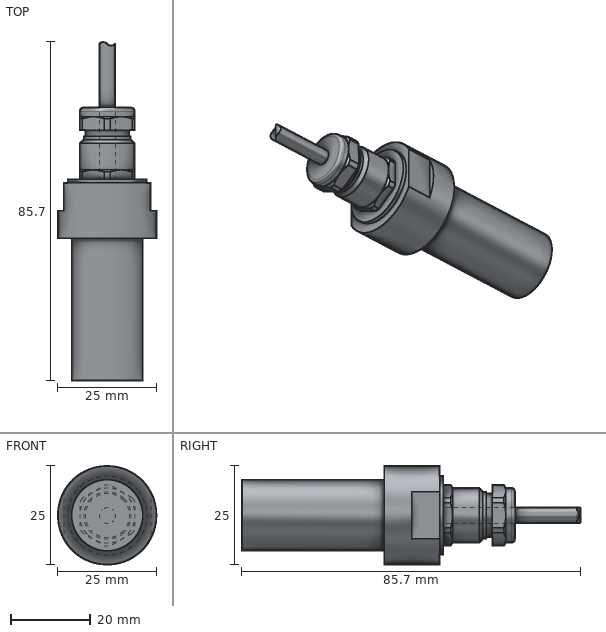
import cadquery as cq
import math


rod_diameter = 18.0
rod_length = 36.0
collar_diameter = 25.0
collar_length = 14.0
flat_spacing = 22.0
flat_length = 7.0
flange_diameter = 20.0
flange_length = 1.0

hex_across_flats = 14.0
hex_corner_diameter = 15.4
hex_chamfer_length = 0.5
base_hex_length = 2.3
barrel_diameter = 13.92
shoulder_diameter = 12.0
barrel_chamfer = (barrel_diameter - shoulder_diameter) / 2
barrel_length = 6.7
shoulder_length = 0.8
neck_diameter = 11.2
neck_length = 1.6
cap_hex_length = 3.4
cap_fillet = 1.0
gland_length = 18.1

cable_diameter = 4.0
overall_length = 85.67
break_depth = 0.45

collar_start = rod_length
collar_end = collar_start + collar_length
flange_end = collar_end + flange_length
base_hex_end = flange_end + base_hex_length
barrel_end = base_hex_end + barrel_length
shoulder_start = barrel_end + barrel_chamfer
neck_start = shoulder_start + shoulder_length
cap_start = neck_start + neck_length
cap_hex_end = cap_start + cap_hex_length
gland_end = flange_end + gland_length


def section_plane(y):
    """Sketch plane across the axis whose normal points along +Y."""
    return cq.Plane(origin=(0, y, 0), xDir=(1, 0, 0), normal=(0, 1, 0))


def cylinder(diameter, start, end):
    return cq.Workplane(section_plane(start)).circle(diameter / 2).extrude(end - start)


def make_collar():
    """Round collar with two wrench flats, facing -X and +X, at its gland end."""
    collar = cylinder(collar_diameter, collar_start, collar_end)
    flat_band = cylinder(collar_diameter, collar_end - flat_length, collar_end)
    kept_slab = (
        cq.Workplane(section_plane(collar_end - flat_length))
        .rect(flat_spacing, collar_diameter)
        .extrude(flat_length)
    )
    return collar.cut(flat_band.cut(kept_slab))


def make_hex(start, end):
    """Hexagon with corners on +Z and -Z, turned round at its corners and chamfered at the +Y end."""
    across_corners = hex_across_flats / math.cos(math.radians(30))
    prism = (
        cq.Workplane(section_plane(start))
        .transformed(rotate=(0, 0, 90))
        .polygon(6, across_corners)
        .extrude(end - start)
    )
    corner_radius = hex_corner_diameter / 2
    turned_envelope = (
        cq.Workplane("XY")
        .moveTo(0, start)
        .lineTo(corner_radius, start)
        .lineTo(corner_radius, end - hex_chamfer_length)
        .lineTo(hex_across_flats / 2, end)
        .lineTo(0, end)
        .close()
        .revolve(360, (0, 0, 0), (0, 1, 0))
    )
    return prism.intersect(turned_envelope)


def make_barrel():
    barrel = cylinder(barrel_diameter, base_hex_end, shoulder_start)
    return barrel.faces(">Y").chamfer(barrel_chamfer)


def make_cap():
    cap_top = cylinder(barrel_diameter, cap_hex_end, gland_end)
    cap_top = cap_top.faces(">Y").edges().fillet(cap_fillet)
    return make_hex(cap_start, cap_hex_end).union(cap_top)


def make_sensor():
    """Rod, collar and gland as one body, bored through the gland for the cable."""
    sections = [
        make_collar(),
        cylinder(flange_diameter, collar_end, flange_end),
        make_hex(flange_end, base_hex_end),
        make_barrel(),
        cylinder(shoulder_diameter, shoulder_start, neck_start),
        cylinder(neck_diameter, neck_start, cap_start),
        make_cap(),
    ]
    body = cylinder(rod_diameter, 0, rod_length)
    for section in sections:
        body = body.union(section)
    return body.cut(cylinder(cable_diameter, flange_end, gland_end))


def make_cable():
    """Round cable whose free end is an S-shaped break: a hump on the -X half, a dip on the +X half."""
    radius = cable_diameter / 2
    break_level = overall_length - break_depth
    profile = (
        cq.Workplane("XY")
        .moveTo(-radius, flange_end)
        .lineTo(-radius, break_level)
        .threePointArc((-radius / 2, overall_length), (0, break_level))
        .threePointArc((radius / 2, break_level - break_depth), (radius, break_level))
        .lineTo(radius, flange_end)
        .close()
        .extrude(radius, both=True)
    )
    return cylinder(cable_diameter, flange_end, overall_length).intersect(profile)


sensor = make_sensor()
cable = make_cable()
result = cq.Compound.makeCompound([sensor.val(), cable.val()])